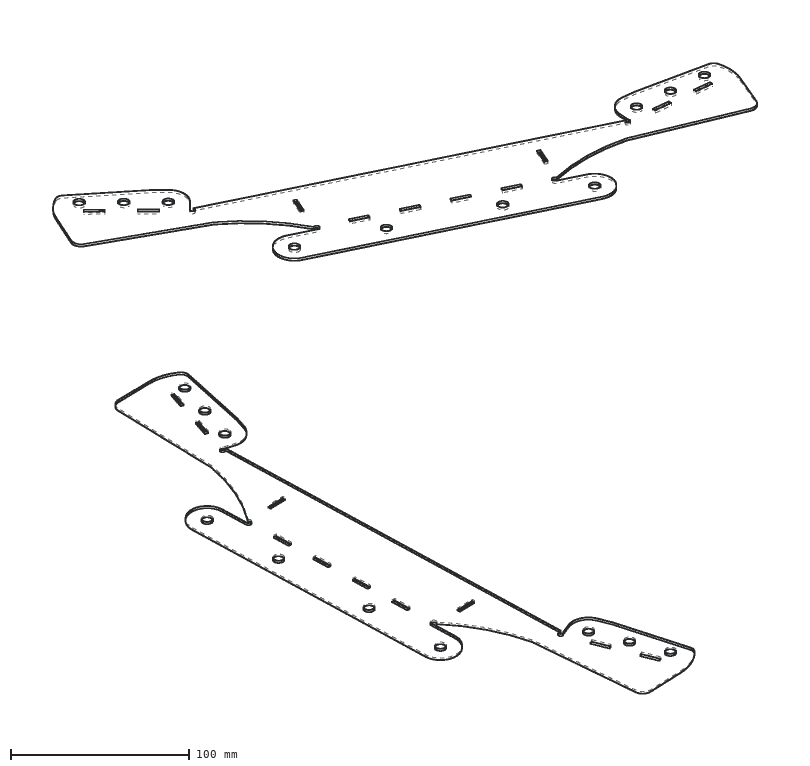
import cadquery as cq
import math

WIDTH = 106.83
LENGTH = 409.85
THICKNESS = 1.65
LEFT_X = -WIDTH / 2
RIGHT_X = WIDTH / 2
TIP_Y = LENGTH / 2

BODY_LEFT_X = -15.4
HOLE_DIAMETER = 6.6
SLOT_LENGTH = 11.8
SLOT_WIDTH = 2.0
LONG_SLOT_X = 26.6
LONG_SLOT_PITCH = 30.4
CROSS_SLOT_X = 2.4
CROSS_SLOT_Y = 72.9

FINGER_RADIUS = 12.2
FINGER_X = RIGHT_X - FINGER_RADIUS
FINGER_WALL_X = RIGHT_X - 2 * FINGER_RADIUS
FINGER_HOLE_Y = 89.8
INNER_HOLE_Y = 34.8

NOTCH_RELIEF_RADIUS = 1.8
NOTCH_RELIEF = (FINGER_WALL_X - NOTCH_RELIEF_RADIUS, 71.3)
WING_RELIEF_RADIUS = 1.5
WING_RELIEF = (-14.2, 130.2)

WING_LEAN = 20.0
WING_ROW_ANGLE = 90 + WING_LEAN
WING_HOLE_CENTER = (-35.1, 163.5)
WING_HOLE_PITCH = 25.0
WING_SLOT_CENTER = (-27.3, 167.8)
WING_SLOT_PITCH = 30.4

LOBE_RADIUS = 12.2
OUTER_EDGE_LEAN = 14.0
OUTER_CORNER_RADIUS = 5.0
SHOULDER_RADIUS = 30.0
TIP_EDGE_TILT = 0.7
TIP_EDGE_LENGTH = 25.0
TIP_CORNER_RADIUS = 6.0
TIP_CORNER_X = -8.3

SWEEP_START = (2.1, 123.4)
SWEEP_END = (25.7, 73.2)
SWEEP_RADIUS = 120.0
INNER_EDGE_LEAN = 3.2


def polar(origin, distance, angle):
    """Point at a distance and an angle in degrees (from +X) from the origin point."""
    turn = math.radians(angle)
    return origin[0] + distance * math.cos(turn), origin[1] + distance * math.sin(turn)


def crossing(start_a, angle_a, start_b, angle_b):
    """Point where two lines meet, each given by a point and an angle in degrees."""
    bearing_b = math.radians(angle_b)
    dx = start_b[0] - start_a[0]
    dy = start_b[1] - start_a[1]
    across = dx * math.sin(bearing_b) - dy * math.cos(bearing_b)
    return polar(start_a, across / math.sin(math.radians(angle_b - angle_a)), angle_a)


def arc(outline, center, radius, start_angle, end_angle):
    """Extend the outline with a line to the arc's start, then the arc itself."""
    middle_angle = (start_angle + end_angle) / 2
    return outline.lineTo(*polar(center, radius, start_angle)).threePointArc(
        polar(center, radius, middle_angle), polar(center, radius, end_angle)
    )


def wing_row(center, pitch, count):
    """Points spaced along the wing's leaning row, starting nearest the body."""
    return [polar(center, (i - (count - 1) / 2) * pitch, WING_ROW_ANGLE) for i in range(count)]


WING_HOLES = wing_row(WING_HOLE_CENTER, WING_HOLE_PITCH, 3)
WING_SLOTS = wing_row(WING_SLOT_CENTER, WING_SLOT_PITCH, 2)


def half_plate():
    """Plate on the +Y side of the symmetry plane, without holes."""
    lobe = WING_HOLES[0]
    lobe_start = polar(lobe, LOBE_RADIUS, WING_LEAN - 90)
    lobe_end = polar(lobe, LOBE_RADIUS, WING_LEAN - 180)
    wing_root = crossing(lobe_start, WING_LEAN, (BODY_LEFT_X, 0), 90)

    tip_corner = (TIP_CORNER_X, TIP_Y - TIP_CORNER_RADIUS)
    tip_normal = 90 + TIP_EDGE_TILT
    tip_edge_end = polar(tip_corner, TIP_CORNER_RADIUS, tip_normal)
    shoulder_start = polar(tip_edge_end, TIP_EDGE_LENGTH, tip_normal + 90)
    shoulder = polar(shoulder_start, SHOULDER_RADIUS, tip_normal + 180)

    outer_x = LEFT_X + OUTER_CORNER_RADIUS
    center_gap = SHOULDER_RADIUS - OUTER_CORNER_RADIUS
    blend_angle = math.degrees(math.acos((outer_x - shoulder[0]) / center_gap))
    outer_corner = polar(shoulder, center_gap, blend_angle)
    outer_normal = 180 + OUTER_EDGE_LEAN
    outer_edge_end = polar(outer_corner, OUTER_CORNER_RADIUS, outer_normal)
    outer_bend = crossing(outer_edge_end, outer_normal + 90, lobe_end, WING_ROW_ANGLE)

    outline = cq.Workplane("XY").moveTo(BODY_LEFT_X, 0).lineTo(*wing_root)
    outline = arc(outline, lobe, LOBE_RADIUS, WING_LEAN - 90, WING_LEAN - 180)
    outline = outline.lineTo(*outer_bend)
    outline = arc(outline, outer_corner, OUTER_CORNER_RADIUS, outer_normal, blend_angle)
    outline = outline.threePointArc(
        polar(shoulder, SHOULDER_RADIUS, (blend_angle + tip_normal) / 2), shoulder_start
    )
    outline = arc(outline, tip_corner, TIP_CORNER_RADIUS, tip_normal, INNER_EDGE_LEAN)
    outline = outline.lineTo(*SWEEP_START).radiusArc(SWEEP_END, -SWEEP_RADIUS)
    outline = outline.lineTo(*NOTCH_RELIEF).lineTo(FINGER_WALL_X, NOTCH_RELIEF[1])
    outline = arc(outline, (FINGER_X, FINGER_HOLE_Y), FINGER_RADIUS, 180, 0)
    return outline.lineTo(RIGHT_X, 0).close().extrude(THICKNESS / 2, both=True)


def holes(points, diameter):
    """Round cutters through the plate."""
    return cq.Workplane("XY").pushPoints(points).circle(diameter / 2).extrude(THICKNESS, both=True)


def slots(points, angle):
    """Square-ended slot cutters whose long side lies along the angle."""
    sketch = cq.Sketch().push(points).rect(SLOT_LENGTH, SLOT_WIDTH, angle=angle)
    return cq.Workplane("XY").placeSketch(sketch).extrude(THICKNESS, both=True)


def half_with_cuts():
    """Plate on the +Y side with its holes, slots and corner reliefs."""
    finger_holes = [(FINGER_X, y) for y in (FINGER_HOLE_Y, INNER_HOLE_Y)]
    long_slots = [(LONG_SLOT_X, LONG_SLOT_PITCH * (i + 0.5)) for i in range(2)]
    return (
        half_plate()
        .cut(holes(WING_HOLES + finger_holes, HOLE_DIAMETER))
        .cut(holes([NOTCH_RELIEF], 2 * NOTCH_RELIEF_RADIUS))
        .cut(holes([WING_RELIEF], 2 * WING_RELIEF_RADIUS))
        .cut(slots(long_slots, 90))
        .cut(slots([(CROSS_SLOT_X, CROSS_SLOT_Y)], 0))
        .cut(slots(WING_SLOTS, WING_ROW_ANGLE))
    )


upper_half = half_with_cuts()
result = upper_half.union(upper_half.mirror("XZ"))